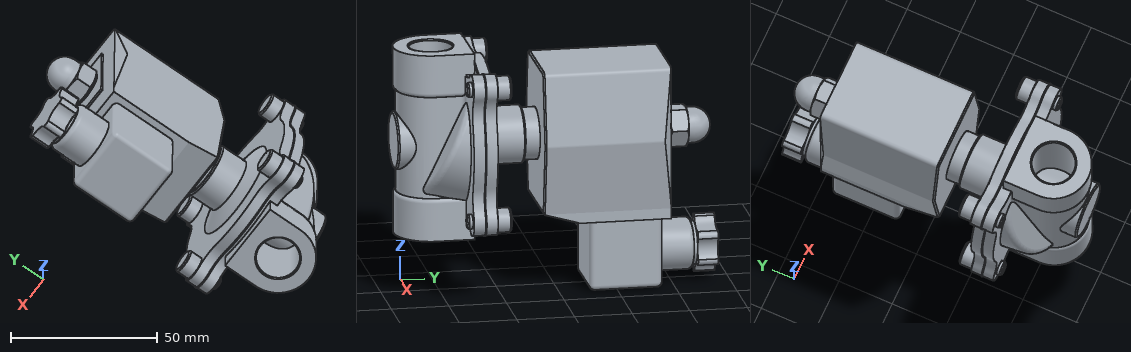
import cadquery as cq
import math

VALVE_TILT = -0.65

FLANGE_THICKNESS = 4.0
GASKET_THICKNESS = 0.3
GASKET_OVERHANG = 0.2
SCREW_OFFSET = 23.5
EAR_RADIUS = 5.0
EAR_ANGLE = 36
WAIST_RADIUS = 10
BULGE_REACH = 28.2
SCREW_DIAMETER = 5.0
SCREW_HEAD_DIAMETER = 8.5
SCREW_HEAD_HEIGHT = 5.0
SCREW_TIP_LENGTH = 1.7
SCREW_CHAMFER = 0.6
FLANGE_TOP = GASKET_THICKNESS / 2 + FLANGE_THICKNESS
FLANGE_BOTTOM = -FLANGE_TOP

PORT_AXIS_Y = -14.1
PORT_RADIUS = 13.0
PORT_TOP_Y = -1.2
PORT_HALF_LENGTH = 33.0
COLLAR_INNER_Z = 17.8
COLLAR_ROUNDING = 1.7
TUBE_RADIUS = 12.1
BORE_DIAMETER = 14.9
BORE_CHAMFER = 0.5
BOSS_DIAMETER = 20
BOSS_END_Y = PORT_AXIS_Y - PORT_RADIUS
BOSS_CHAMFER = 0.6
WEB_FILLET = 1.9
WEB_LENGTH = 25.1
BOWL_RADIUS = 22.5
BOWL_LEAN = 14.5
BOWL_DEPTH = 27.8
BOWL_CUT_ANGLE = 25.7
BOWL_CUT_START_Z = 16.1
BOWL_FILLET = 2.0

CONE_BASE_DIAMETER = 35.6
CONE_TOP_Y = 6.9
COLLAR_DIAMETER = 20
COLLAR_END_Y = 17.2
COLLAR_CHAMFER = 0.6
STEM_DIAMETER = 18.0

COIL_FRONT_Y = 22.2
COIL_BACK_Y = 66.6
COIL_HALF_WIDTH = 18.9
COIL_END_HALF_WIDTH = 15.1
COIL_TOP_Z = 25.4
COIL_SKIRT_Z = -24.9
COIL_BOTTOM_Z = -28.6
COIL_TOP_FILLET = 2.0
COIL_RIDGE_FILLET = 2.2
COIL_FRONT_CHAMFER = 0.6
COIL_BEVEL_DEPTH = 2.8
SKIRT_SLOPE_END_Y = 34.8

PLATE_WIDTH = 16.9
PLATE_LENGTH = 30
PLATE_THICKNESS = 0.7
WASHER_DIAMETER = 12.5
WASHER_THICKNESS = 0.7
NUT_CORNER_DIAMETER = 15.0
NUT_TOP_Y = 74.4
NUT_BEVEL_HEIGHT = 0.6
NUT_BEVEL_WIDTH = 1.0
DOME_DIAMETER = 12.5
DOME_CENTER_Y = 76.5

CONNECTOR_WIDTH = 25.0
CONNECTOR_FRONT_Y = 38.8
CONNECTOR_BACK_Y = 64.1
CONNECTOR_BOTTOM_Z = -53.8
CONNECTOR_FILLET = 1.9
GLAND_AXIS_Z = -41.9
GLAND_DIAMETER = 18.0
GLAND_END_Y = 76.0
GLAND_FILLET = 1.8
GLAND_NECK_DIAMETER = 15.0
KNOB_FRONT_Y = 77.1
KNOB_BACK_Y = 84.1
KNOB_RADIUS = 10.2
KNOB_LOBES = 6
LOBE_EDGE_RADIUS = 9.7
LOBE_HALF_WIDTH = 1.3
KNOB_VALLEY_RADIUS = 7.7


def plane_at(y, z=0):
    """Sketch plane facing +Y at height y, with local x along X and local y along -Z."""
    return cq.Workplane(cq.Plane(origin=(0, y, z), xDir=(1, 0, 0), normal=(0, 1, 0)))


def disc(diameter, y_start, y_end, z=0):
    """Cylinder about an axis parallel to Y."""
    return plane_at(y_start, z).circle(diameter / 2).extrude(y_end - y_start)


def polar(radius, degrees):
    """Point at a radius and angle about the origin."""
    return (radius * math.cos(math.radians(degrees)), radius * math.sin(math.radians(degrees)))


def quarter_turns(point, turns):
    """Rotate a 2D point by a number of quarter turns."""
    x, y = point
    for _ in range(turns):
        x, y = -y, x
    return (x, y)


def flange_outline(y):
    """Four bulged sides joined to four screw ears by tangent hollow waists."""
    reach = EAR_RADIUS + WAIST_RADIUS
    ear_angle = math.radians(EAR_ANGLE)
    waist_x = SCREW_OFFSET + reach * math.cos(ear_angle)
    waist_y = SCREW_OFFSET - reach * math.sin(ear_angle)
    gap = waist_x - BULGE_REACH
    bulge_radius = (WAIST_RADIUS**2 - gap**2 - waist_y**2) / (2 * (gap - WAIST_RADIUS))
    bulge_angle = math.atan2(waist_y, gap + bulge_radius)

    def on_waist(angle):
        return (waist_x - WAIST_RADIUS * math.cos(angle), waist_y - WAIST_RADIUS * math.sin(angle))

    bulge_end = on_waist(bulge_angle)
    waist_middle = on_waist((bulge_angle - ear_angle) / 2)
    ear_start = on_waist(-ear_angle)
    ear_end = (ear_start[1], ear_start[0])
    ear_tip = SCREW_OFFSET + EAR_RADIUS * math.sqrt(0.5)

    def mirrored(point):
        return (point[0], -point[1])

    outline = plane_at(y).moveTo(*mirrored(ear_start))
    for turns in range(4):
        arcs = [
            (mirrored(waist_middle), mirrored(bulge_end)),
            ((BULGE_REACH, 0), bulge_end),
            (waist_middle, ear_start),
            ((ear_tip, ear_tip), ear_end),
        ]
        for middle, end in arcs:
            outline = outline.threePointArc(quarter_turns(middle, turns), quarter_turns(end, turns))
    return outline.close()


SCREW_PLACES = [(x, z) for x in (-SCREW_OFFSET, SCREW_OFFSET) for z in (-SCREW_OFFSET, SCREW_OFFSET)]


def cut_screw_holes(part):
    """Four plain holes through the flanges and the gasket."""
    holes = plane_at(FLANGE_BOTTOM).pushPoints(SCREW_PLACES).circle(SCREW_DIAMETER / 2)
    return part.cut(holes.extrude(FLANGE_TOP - FLANGE_BOTTOM))


def u_block(radius, z_start, z_end):
    """Bar along Z with flat sides at the flange and a half-round front."""
    return (
        cq.Workplane("XY", origin=(0, 0, z_start))
        .moveTo(-radius, PORT_TOP_Y)
        .lineTo(-radius, PORT_AXIS_Y)
        .threePointArc((0, PORT_AXIS_Y - radius), (radius, PORT_AXIS_Y))
        .lineTo(radius, PORT_TOP_Y)
        .close()
        .extrude(z_end - z_start)
    )


def port_tube():
    """Tube along Z with a thicker port collar at each end."""
    tube = u_block(TUBE_RADIUS, -PORT_HALF_LENGTH, PORT_HALF_LENGTH)
    top_collar = u_block(PORT_RADIUS, COLLAR_INNER_Z, PORT_HALF_LENGTH)
    top_collar = top_collar.faces("<Z").edges("not >Y").fillet(COLLAR_ROUNDING)
    return tube.union(top_collar).union(top_collar.mirror("XY"))


def flange_webs():
    """Concave fillets between the flange face and the flat sides of the upper tube half."""
    half_width = TUBE_RADIUS + WEB_FILLET
    web = cq.Workplane("XY").box(2 * half_width, WEB_FILLET, WEB_LENGTH)
    web = web.translate((0, FLANGE_BOTTOM - WEB_FILLET / 2, WEB_LENGTH / 2))
    hollows = (
        cq.Workplane("XY", origin=(0, FLANGE_BOTTOM - WEB_FILLET, 0))
        .pushPoints([(-half_width, 0), (half_width, 0)])
        .circle(WEB_FILLET)
        .extrude(WEB_LENGTH)
    )
    return web.cut(hollows)


def bowl():
    """Leaning round bowl under the flange, cut off by a sloping flat."""
    lean = math.radians(BOWL_LEAN)
    axis = (0, -math.cos(lean), math.sin(lean))
    start = cq.Plane(origin=(0, FLANGE_BOTTOM, 0), xDir=(1, 0, 0), normal=axis)
    overlap = BOWL_RADIUS * math.tan(lean)
    cylinder = (
        cq.Workplane(start).workplane(offset=-overlap).circle(BOWL_RADIUS).extrude(BOWL_DEPTH + overlap)
    )
    drop = BOWL_DEPTH / math.tan(math.radians(BOWL_CUT_ANGLE))
    kept_wedge = (
        cq.Workplane("YZ", origin=(-2 * BOWL_RADIUS, 0, 0))
        .polyline([
            (FLANGE_BOTTOM, BOWL_CUT_START_Z),
            (FLANGE_BOTTOM - BOWL_DEPTH, BOWL_CUT_START_Z - drop),
            (FLANGE_BOTTOM, BOWL_CUT_START_Z - drop),
        ])
        .close()
        .extrude(4 * BOWL_RADIUS)
    )
    cut_normal = math.radians(BOWL_CUT_ANGLE)
    cut_face = cq.DirectionMinMaxSelector(cq.Vector(0, -math.cos(cut_normal), math.sin(cut_normal)), True)
    solid = cylinder.intersect(kept_wedge)
    return solid.faces(cut_face).edges("%ELLIPSE").fillet(BOWL_FILLET)


def make_valve_body():
    flange = flange_outline(FLANGE_BOTTOM).extrude(FLANGE_THICKNESS)
    column = disc(BOSS_DIAMETER, BOSS_END_Y, FLANGE_BOTTOM).faces("<Y").chamfer(BOSS_CHAMFER)
    bore_mouth_radius = BORE_DIAMETER / 2 + BORE_CHAMFER
    bore = (
        cq.Workplane("XZ", origin=(0, PORT_AXIS_Y, 0))
        .polyline([
            (0, -PORT_HALF_LENGTH),
            (bore_mouth_radius, -PORT_HALF_LENGTH),
            (BORE_DIAMETER / 2, -PORT_HALF_LENGTH + BORE_CHAMFER),
            (BORE_DIAMETER / 2, PORT_HALF_LENGTH - BORE_CHAMFER),
            (bore_mouth_radius, PORT_HALF_LENGTH),
            (0, PORT_HALF_LENGTH),
        ])
        .close()
        .revolve(360, (0, 0, 0), (0, 1, 0))
    )
    body = flange.union(port_tube()).union(flange_webs()).union(bowl())
    return cut_screw_holes(body.cut(bore).union(column))


def cover():
    """Gasket, cover flange, cone, collar and the stem that carries the coil."""
    gasket = flange_outline(-GASKET_THICKNESS / 2).offset2D(GASKET_OVERHANG).extrude(GASKET_THICKNESS)
    flange = flange_outline(GASKET_THICKNESS / 2).extrude(FLANGE_THICKNESS)
    cone = (
        plane_at(FLANGE_TOP)
        .circle(CONE_BASE_DIAMETER / 2)
        .workplane(offset=CONE_TOP_Y - FLANGE_TOP)
        .circle(COLLAR_DIAMETER / 2)
        .loft()
    )
    collar = disc(COLLAR_DIAMETER, CONE_TOP_Y, COLLAR_END_Y).faces(">Y").chamfer(COLLAR_CHAMFER)
    stem = disc(STEM_DIAMETER, COLLAR_END_Y, COIL_FRONT_Y)
    return cut_screw_holes(gasket.union(flange)).union(cone).union(collar).union(stem)


def coil():
    """Six-sided coil housing with bevelled back corners and a sloping skirt below."""
    length = COIL_BACK_Y - COIL_FRONT_Y
    block = (
        cq.Workplane("XZ", origin=(0, COIL_BACK_Y, 0))
        .polyline([
            (-COIL_END_HALF_WIDTH, COIL_TOP_Z),
            (COIL_END_HALF_WIDTH, COIL_TOP_Z),
            (COIL_HALF_WIDTH, 0),
            (COIL_END_HALF_WIDTH, COIL_SKIRT_Z),
            (COIL_END_HALF_WIDTH, COIL_BOTTOM_Z),
            (-COIL_END_HALF_WIDTH, COIL_BOTTOM_Z),
            (-COIL_END_HALF_WIDTH, COIL_SKIRT_Z),
            (-COIL_HALF_WIDTH, 0),
        ])
        .close()
        .extrude(length)
    )
    block = block.edges("|Y and >Z").fillet(COIL_TOP_FILLET)
    block = block.edges("|Y and (<X or >X)").fillet(COIL_RIDGE_FILLET)

    height = COIL_TOP_Z - COIL_BOTTOM_Z
    bevel_start_y = COIL_BACK_Y - COIL_BEVEL_DEPTH
    bevelled_plan = (
        cq.Workplane("XY", origin=(0, 0, COIL_BOTTOM_Z))
        .polyline([
            (-COIL_HALF_WIDTH, COIL_FRONT_Y),
            (COIL_HALF_WIDTH, COIL_FRONT_Y),
            (COIL_HALF_WIDTH, bevel_start_y),
            (COIL_END_HALF_WIDTH, COIL_BACK_Y),
            (-COIL_END_HALF_WIDTH, COIL_BACK_Y),
            (-COIL_HALF_WIDTH, bevel_start_y),
        ])
        .close()
        .extrude(height)
    )
    skirt_slope = (
        cq.Workplane("YZ", origin=(-COIL_HALF_WIDTH, 0, 0))
        .polyline([
            (COIL_FRONT_Y, COIL_SKIRT_Z),
            (SKIRT_SLOPE_END_Y, COIL_BOTTOM_Z),
            (COIL_FRONT_Y, COIL_BOTTOM_Z),
        ])
        .close()
        .extrude(2 * COIL_HALF_WIDTH)
    )
    block = block.intersect(bevelled_plan).cut(skirt_slope)
    return block.faces("<Y").edges().chamfer(COIL_FRONT_CHAMFER)


def dome_nut():
    """Hexagon nut with a domed end, standing on a washer and a thin plate."""
    plate_top = COIL_BACK_Y + PLATE_THICKNESS
    plate = plane_at(COIL_BACK_Y).rect(PLATE_WIDTH, PLATE_LENGTH).extrude(PLATE_THICKNESS)
    nut_bottom = plate_top + WASHER_THICKNESS
    washer = disc(WASHER_DIAMETER, plate_top, nut_bottom)
    hexagon = plane_at(nut_bottom).polygon(6, NUT_CORNER_DIAMETER).extrude(NUT_TOP_Y - nut_bottom)
    bevelled_disc = disc(NUT_CORNER_DIAMETER, nut_bottom, NUT_TOP_Y)
    bevelled_disc = bevelled_disc.edges("%CIRCLE").chamfer(NUT_BEVEL_HEIGHT, NUT_BEVEL_WIDTH)
    dome = disc(DOME_DIAMETER, NUT_TOP_Y, DOME_CENTER_Y)
    ball = cq.Workplane("XY").sphere(DOME_DIAMETER / 2).translate((0, DOME_CENTER_Y, 0))
    return plate.union(washer).union(hexagon.intersect(bevelled_disc)).union(dome).union(ball)


def knob():
    """Gland nut with rounded lobes and round hollows between them."""
    pitch = 360 / KNOB_LOBES
    edge_angle = math.degrees(math.atan2(LOBE_HALF_WIDTH, LOBE_EDGE_RADIUS))
    edge_distance = math.hypot(LOBE_HALF_WIDTH, LOBE_EDGE_RADIUS)
    first_lobe = pitch / 2
    outline = plane_at(KNOB_FRONT_Y, GLAND_AXIS_Z).moveTo(*polar(edge_distance, first_lobe - edge_angle))
    for index in range(KNOB_LOBES):
        lobe = first_lobe + index * pitch
        outline = outline.threePointArc(polar(KNOB_RADIUS, lobe), polar(edge_distance, lobe + edge_angle))
        valley = polar(KNOB_VALLEY_RADIUS, lobe + pitch / 2)
        outline = outline.threePointArc(valley, polar(edge_distance, lobe + pitch - edge_angle))
    return outline.close().extrude(KNOB_BACK_Y - KNOB_FRONT_Y)


def connector():
    """Plug box below the coil with a cable gland on its back."""
    depth = CONNECTOR_BACK_Y - CONNECTOR_FRONT_Y
    height = COIL_BOTTOM_Z - CONNECTOR_BOTTOM_Z
    middle_y = (CONNECTOR_FRONT_Y + CONNECTOR_BACK_Y) / 2
    box = (
        cq.Workplane("XY", origin=(0, middle_y, CONNECTOR_BOTTOM_Z))
        .rect(CONNECTOR_WIDTH, depth)
        .extrude(height)
        .edges("|Z or <Z")
        .fillet(CONNECTOR_FILLET)
    )
    gland = disc(GLAND_DIAMETER, CONNECTOR_BACK_Y, GLAND_END_Y, GLAND_AXIS_Z)
    gland = gland.faces(">Y").edges().fillet(GLAND_FILLET)
    neck = disc(GLAND_NECK_DIAMETER, GLAND_END_Y, KNOB_FRONT_Y, GLAND_AXIS_Z)
    return box.union(gland).union(neck).union(knob())


def make_solenoid_head():
    return cover().union(coil()).union(dome_nut()).union(connector())


def make_screw(x, z):
    """Cylinder-head screw through both flanges."""
    tip_y = FLANGE_BOTTOM - SCREW_TIP_LENGTH
    shank = disc(SCREW_DIAMETER, tip_y, FLANGE_TOP).faces("<Y").chamfer(SCREW_CHAMFER)
    head = disc(SCREW_HEAD_DIAMETER, FLANGE_TOP, FLANGE_TOP + SCREW_HEAD_HEIGHT)
    head = head.faces(">Y").chamfer(SCREW_CHAMFER)
    return shank.union(head).translate((x, 0, z))


valve_body = make_valve_body()
solenoid_head = make_solenoid_head()
screws = [make_screw(x, z) for x, z in SCREW_PLACES]


def turned(part):
    """The part turned about the main axis into its final position."""
    return part.rotate((0, 0, 0), (0, 1, 0), VALVE_TILT).val()


result = cq.Compound.makeCompound([
    turned(valve_body),
    turned(solenoid_head),
    *[turned(screw) for screw in screws],
])